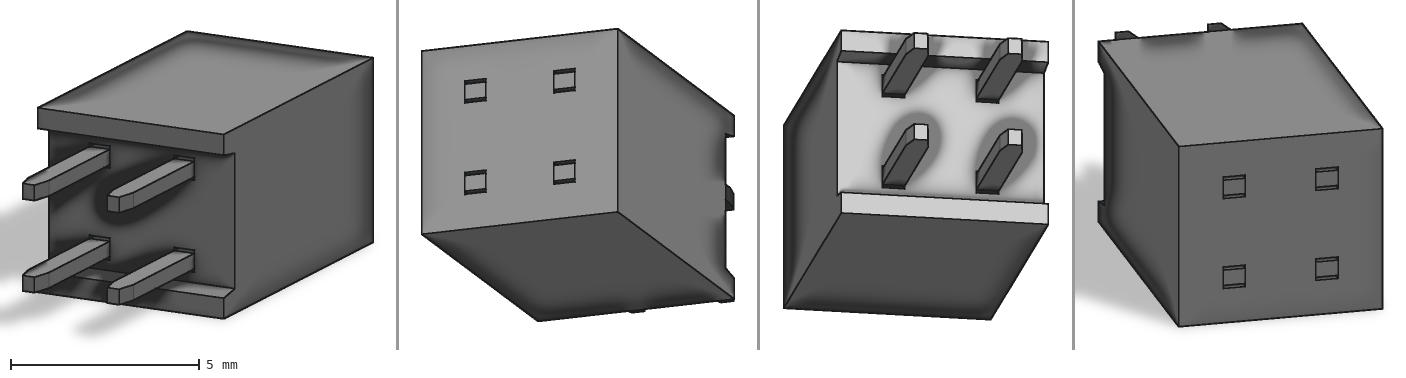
import cadquery as cq

housing_width = 5.59
housing_height = 5.09
housing_length = 8.5

recess_depth = 0.63
lip_end_thickness = 0.57
lip_root_thickness = 0.68

pin_pitch = 2.54
pin_width = 0.61
pin_thickness = 0.43
pin_tip_width = 0.36
pin_taper_length = 0.57
hole_size = pin_width

overall_length = 11.91
rear_y = overall_length / 2
tip_y = -overall_length / 2
taper_start_y = tip_y + pin_taper_length
lip_end_y = rear_y - housing_length
recess_floor_y = lip_end_y + recess_depth

pin_places = [
    (column * pin_pitch / 2, row * pin_pitch / 2)
    for column in (-1, 1)
    for row in (-1, 1)
]


def make_housing():
    """Block with a flared recess across the pin end and one through-hole per contact."""
    half_height = housing_height / 2
    lip_end_z = half_height - lip_end_thickness
    lip_root_z = half_height - lip_root_thickness
    side_outline = [
        (rear_y, -half_height),
        (rear_y, half_height),
        (lip_end_y, half_height),
        (lip_end_y, lip_end_z),
        (recess_floor_y, lip_root_z),
        (recess_floor_y, -lip_root_z),
        (lip_end_y, -lip_end_z),
        (lip_end_y, -half_height),
    ]
    body = (
        cq.Workplane("YZ")
        .polyline(side_outline)
        .close()
        .extrude(housing_width / 2, both=True)
    )
    for x, z in pin_places:
        hole = cq.Workplane("XY").box(hole_size, overall_length, hole_size).translate((x, 0, z))
        body = body.cut(hole)
    return body


def make_contact(x, z):
    """Flat bar inside the hole centred on (x, z), in line with its pin."""
    contact_length = rear_y - recess_floor_y
    contact_middle_y = (rear_y + recess_floor_y) / 2
    return (
        cq.Workplane("XY")
        .box(pin_width, contact_length, pin_thickness)
        .translate((x, contact_middle_y, z))
    )


def make_pin(x, z):
    """Flat pin centred on (x, z), from the recess floor outwards, narrowed in X towards its tip."""
    half_width = pin_width / 2
    half_tip = pin_tip_width / 2
    plan_outline = [
        (-half_width, recess_floor_y),
        (-half_width, taper_start_y),
        (-half_tip, tip_y),
        (half_tip, tip_y),
        (half_width, taper_start_y),
        (half_width, recess_floor_y),
    ]
    return (
        cq.Workplane("XY")
        .polyline(plan_outline)
        .close()
        .extrude(pin_thickness / 2, both=True)
        .translate((x, 0, z))
    )


housing = make_housing()
contacts = [make_contact(x, z) for x, z in pin_places]
pins = [make_pin(x, z) for x, z in pin_places]

result = cq.Compound.makeCompound([
    housing.val(),
    *[contact.val() for contact in contacts],
    *[pin.val() for pin in pins],
])